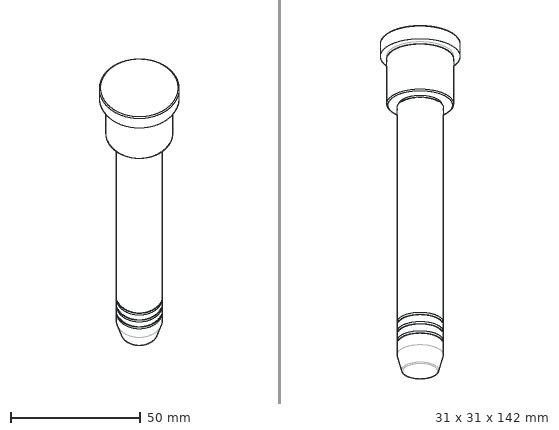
import cadquery as cq
import math

total_length = 142.0
head_thickness = 6.0
collar_length = 21.0
taper_length = 7.0
head_bottom = total_length - head_thickness
collar_bottom = head_bottom - collar_length

head_radius = 31.0 / 2
collar_radius = 26.0 / 2
shaft_radius = 18.0 / 2

taper_angle = 15.0
tip_radius = shaft_radius - taper_length * math.tan(math.radians(taper_angle))
tip_fillet = 0.5

head_chamfer = 0.5
collar_chamfer = 0.5

relief_width = 1.0
relief_depth = 0.5

groove_count = 3
groove_pitch = 4.0
groove_radius = 0.5
lowest_groove_center = 12.5


def revolve_about_z(profile):
    """Full turn of an XZ profile about the Z axis."""
    return profile.revolve(360, (0, 0, 0), (0, 1, 0))


def cylinder(radius, bottom, top):
    """Solid cylinder on the Z axis between two heights."""
    profile = cq.Workplane("XZ").moveTo(0, bottom).lineTo(-radius, bottom).lineTo(-radius, top).lineTo(0, top)
    return revolve_about_z(profile.close())


def make_head():
    """Flat head with a chamfered top rim."""
    return cylinder(head_radius, head_bottom, total_length).faces(">Z").edges().chamfer(head_chamfer)


def make_collar():
    """Locating collar with a chamfered lower rim."""
    return cylinder(collar_radius, collar_bottom, head_bottom).faces("<Z").edges().chamfer(collar_chamfer)


def make_shaft():
    """Straight shaft with a tapered, rounded tip."""
    profile = (
        cq.Workplane("XZ")
        .lineTo(-tip_radius, 0)
        .lineTo(-shaft_radius, taper_length)
        .lineTo(-shaft_radius, collar_bottom)
        .lineTo(0, collar_bottom)
        .close()
    )
    shaft = revolve_about_z(profile)
    return shaft.faces("<Z").edges().fillet(tip_fillet)


def relief_cutter():
    """Ring that cuts a square relief into the shaft directly below the collar."""
    relief_bottom = collar_bottom - relief_width
    core = cylinder(shaft_radius - relief_depth, relief_bottom, collar_bottom)
    return cylinder(shaft_radius, relief_bottom, collar_bottom).cut(core)


def groove_cutter(radius, center_height):
    """Torus that cuts a half-round groove around a cylinder of the given radius."""
    profile = cq.Workplane("XZ").moveTo(-radius, center_height).circle(groove_radius)
    return revolve_about_z(profile)


result = make_head().union(make_collar()).union(make_shaft())
result = result.cut(relief_cutter())
result = result.cut(groove_cutter(collar_radius, head_bottom - groove_radius))
for groove_index in range(groove_count):
    groove_height = lowest_groove_center + groove_index * groove_pitch
    result = result.cut(groove_cutter(shaft_radius, groove_height))